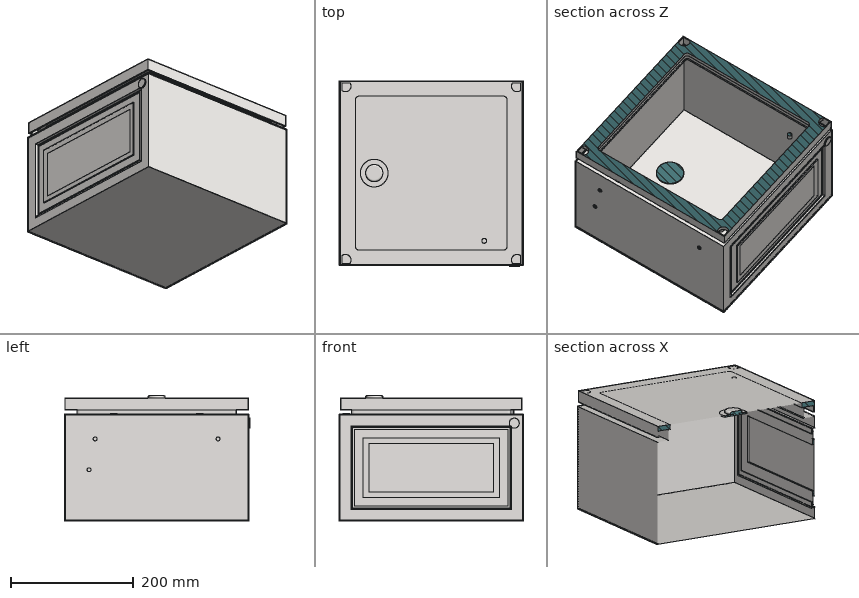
import cadquery as cq

HOUSING_SIDE = 300.0
HOUSING_HEIGHT = 174.0
SHEET = 1.5
BEND_RADIUS = 1.2
OVERALL_HEIGHT = 204.2

DOOR_WIDTH = 294.8
DOOR_DEPTH = 298.5
DOOR_BOTTOM = 180.5
DOOR_TOP = 200.0
DOOR_WALL = 2.5
DOOR_SKIN = 1.2
SKIN_BOTTOM = DOOR_TOP - DOOR_SKIN
SEAL_THICKNESS = 7.5
SEAL_BOTTOM = SKIN_BOTTOM - SEAL_THICKNESS
SEAL_BORDER = 24.2
SEAL_CORNER_RADIUS = 5.5
RELIEF_RADIUS = 9.0
RELIEF_INSET = 8.0
STUD_DIAMETER = 8.0
STUD_LENGTH = 9.0
STUD_X = 86.0
STUD_Y = -110.2

RIM_INSET = 20.2
RIM_CORNER_RADIUS = 5.5
RIM_SIDE = HOUSING_SIDE - 2 * RIM_INSET

LEAF_X = 133.5
LEAF_TOP = 185.7

BUMPER_DIAMETER = 10.5
BUMPER_HEIGHT = 1.0
BUMPER_X = -138.3
BUMPER_Y = 70.0

PLUG_DIAMETER = 16.3
PLUG_HEIGHT = 2.0
PLUG_X = 135.0
PLUG_Z = 159.2

WALL_HOLE_DIAMETER = 6.3
WALL_HOLES = [(100.0, 133.5), (-100.0, 133.5), (110.0, 83.5)]

FRONT_Y = -HOUSING_SIDE / 2
RECESS_INSET = 20.8
RECESS_WIDTH = HOUSING_SIDE - 2 * RECESS_INSET
RECESS_HEIGHT = 133.2
RECESS_Z = 86.7
RECESS_DEPTH = 5.5
LEDGE_WIDTH = 9.0

PLATE_GAP = 1.0
PLATE_WIDTH = RECESS_WIDTH - 2 * PLATE_GAP
PLATE_HEIGHT = RECESS_HEIGHT - 2 * PLATE_GAP
PLATE_THICKNESS = 1.5
STEP_BORDER = 3.5
STEP_RISE = 1.0
PANEL_BORDER = 14.0
PANEL_RISE = 2.0
POCKET_BORDER = 9.0
POCKET_SKIN = 1.25

LOCK_X = -92.7
KNOB_DIAMETER = 28.0
KNOB_ROUNDING = 3.0
SHANK_DIAMETER = 20.0
BACKING_DIAMETER = 45.0
BACKING_THICKNESS = 2.5


def block(width, depth, bottom, top):
    """Upright block centred on the Z axis."""
    return cq.Workplane("XY").workplane(offset=bottom).rect(width, depth).extrude(top - bottom)


def disc(diameter, x, y, bottom, top):
    """Upright cylinder."""
    return cq.Workplane("XY").workplane(offset=bottom).center(x, y).circle(diameter / 2).extrude(top - bottom)


def front_block(width, height, start, end):
    """Block centred on the recess, between two depths behind the front face."""
    return (
        cq.Workplane("XY")
        .box(width, end - start, height)
        .translate((0, FRONT_Y + (start + end) / 2, RECESS_Z))
    )


def make_housing():
    outer = block(HOUSING_SIDE, HOUSING_SIDE, 0, HOUSING_HEIGHT)
    outer = outer.edges("|Z").fillet(BEND_RADIUS).faces(">Z").edges().fillet(BEND_RADIUS)
    inner_side = HOUSING_SIDE - 2 * SHEET
    shell = outer.cut(block(inner_side, inner_side, SHEET, HOUSING_HEIGHT - SHEET))

    rim = block(RIM_SIDE, RIM_SIDE, HOUSING_HEIGHT - SHEET, SEAL_BOTTOM).edges("|Z").fillet(RIM_CORNER_RADIUS)
    opening_side = RIM_SIDE - 2 * SHEET
    opening = block(opening_side, opening_side, HOUSING_HEIGHT - SHEET, SEAL_BOTTOM)
    opening = opening.edges("|Z").fillet(RIM_CORNER_RADIUS - SHEET)
    shell = shell.union(rim).cut(opening)

    tray_depth = RECESS_DEPTH + SHEET
    tray = front_block(RECESS_WIDTH + 2 * SHEET, RECESS_HEIGHT + 2 * SHEET, SHEET, tray_depth)
    window = front_block(RECESS_WIDTH - 2 * LEDGE_WIDTH, RECESS_HEIGHT - 2 * LEDGE_WIDTH, 0, tray_depth)
    recess = front_block(RECESS_WIDTH, RECESS_HEIGHT, 0, RECESS_DEPTH)
    shell = shell.union(tray).cut(recess).cut(window)

    for y, z in WALL_HOLES:
        hole = (
            cq.Workplane("YZ")
            .workplane(offset=-HOUSING_SIDE / 2)
            .center(y, z)
            .circle(WALL_HOLE_DIAMETER / 2)
            .extrude(SHEET)
        )
        shell = shell.cut(hole)

    for y in (-BUMPER_Y, BUMPER_Y):
        bumper = disc(BUMPER_DIAMETER, BUMPER_X, y, HOUSING_HEIGHT - SHEET, HOUSING_HEIGHT + BUMPER_HEIGHT)
        shell = shell.union(bumper)
    leaf = block(SHEET, RIM_SIDE, HOUSING_HEIGHT - SHEET, LEAF_TOP).translate((LEAF_X, 0, 0))
    shell = shell.union(leaf)

    plug = (
        cq.Workplane("XZ")
        .workplane(offset=-FRONT_Y)
        .center(PLUG_X, PLUG_Z)
        .circle(PLUG_DIAMETER / 2)
        .extrude(PLUG_HEIGHT)
    )
    return shell.union(plug)


def make_door():
    inner_width = DOOR_WIDTH - 2 * DOOR_WALL
    inner_depth = DOOR_DEPTH - 2 * DOOR_WALL
    pan = block(DOOR_WIDTH, DOOR_DEPTH, DOOR_BOTTOM, DOOR_TOP)
    pan = pan.cut(block(inner_width, inner_depth, DOOR_BOTTOM, SKIN_BOTTOM))

    field = block(DOOR_WIDTH - 2 * SEAL_BORDER, DOOR_DEPTH - 2 * SEAL_BORDER, SEAL_BOTTOM, SKIN_BOTTOM)
    field = field.edges("|Z").fillet(SEAL_CORNER_RADIUS)
    seal = block(inner_width, inner_depth, SEAL_BOTTOM, SKIN_BOTTOM).cut(field)
    relief_x = DOOR_WIDTH / 2 - RELIEF_INSET
    relief_y = DOOR_DEPTH / 2 - RELIEF_INSET
    for x in (-relief_x, relief_x):
        for y in (-relief_y, relief_y):
            seal = seal.cut(disc(2 * RELIEF_RADIUS, x, y, SEAL_BOTTOM, SKIN_BOTTOM))

    stud = disc(STUD_DIAMETER, STUD_X, STUD_Y, SKIN_BOTTOM - STUD_LENGTH, SKIN_BOTTOM)
    lock_hole = disc(SHANK_DIAMETER, LOCK_X, 0, SKIN_BOTTOM, DOOR_TOP)
    return pan.union(seal).union(stud).cut(lock_hole)


def make_gland_plate():
    flange_face = RECESS_DEPTH - PLATE_THICKNESS
    step_face = flange_face - STEP_RISE
    panel_face = step_face - PANEL_RISE
    step_width = PLATE_WIDTH - 2 * STEP_BORDER
    step_height = PLATE_HEIGHT - 2 * STEP_BORDER
    panel_width = step_width - 2 * PANEL_BORDER
    panel_height = step_height - 2 * PANEL_BORDER
    plate = front_block(PLATE_WIDTH, PLATE_HEIGHT, flange_face, RECESS_DEPTH)
    plate = plate.union(front_block(step_width, step_height, step_face, RECESS_DEPTH))
    plate = plate.union(front_block(panel_width, panel_height, panel_face, RECESS_DEPTH))

    pocket = front_block(
        panel_width - 2 * POCKET_BORDER,
        panel_height - 2 * POCKET_BORDER,
        panel_face + POCKET_SKIN,
        RECESS_DEPTH,
    )
    return plate.cut(pocket)


def make_lock():
    knob = disc(KNOB_DIAMETER, LOCK_X, 0, DOOR_TOP, OVERALL_HEIGHT).faces(">Z").edges().fillet(KNOB_ROUNDING)
    shank = disc(SHANK_DIAMETER, LOCK_X, 0, SKIN_BOTTOM, DOOR_TOP)
    backing = disc(BACKING_DIAMETER, LOCK_X, 0, SKIN_BOTTOM - BACKING_THICKNESS, SKIN_BOTTOM)
    return knob.union(shank).union(backing)


housing = make_housing()
door = make_door()
gland_plate = make_gland_plate()
lock = make_lock()

result = cq.Compound.makeCompound([housing.val(), door.val(), gland_plate.val(), lock.val()])